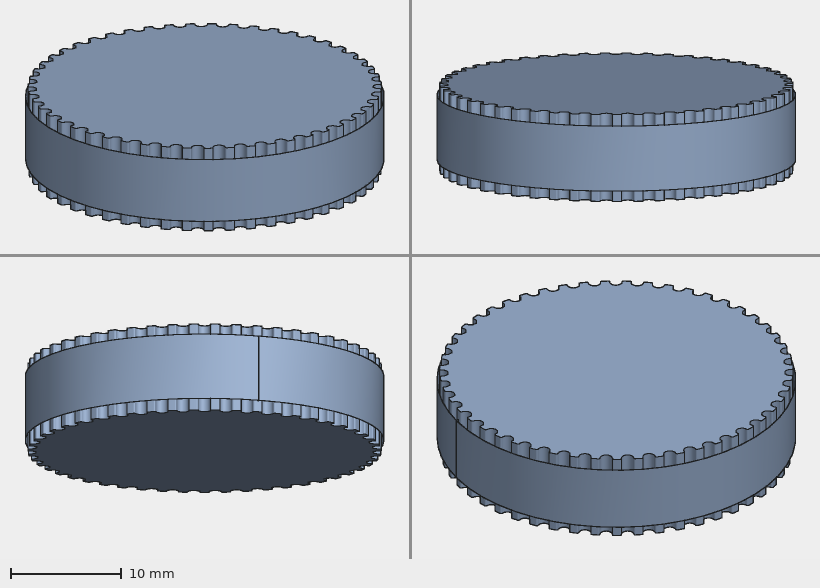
import cadquery as cq
import math

height = 8.0
sleeve_diameter = 32.47
sleeve_thickness = 0.03
rim_height = 1.0
tooth_count = 51
tip_diameter = 31.95
groove_depth = 0.75
groove_radius = 0.55
tip_fillet = 0.145
web_thickness = 0.05

tip_radius = tip_diameter / 2
root_radius = tip_radius - groove_depth
groove_center = root_radius + groove_radius
sleeve_radius = sleeve_diameter / 2
sleeve_inner_radius = sleeve_radius - sleeve_thickness
sleeve_height = height - 2 * rim_height


def groove_cutter():
    """U-shaped groove on the -Y side, open outwards past the tooth tips."""
    return (
        cq.Workplane("XY")
        .moveTo(-groove_radius, -sleeve_radius)
        .lineTo(-groove_radius, -groove_center)
        .threePointArc((0, -root_radius), (groove_radius, -groove_center))
        .lineTo(groove_radius, -sleeve_radius)
        .close()
        .extrude(height)
        .val()
    )


def is_tip_edge(edge):
    """True for the vertical edges where a groove wall meets the tip cylinder."""
    middle = edge.Center()
    return math.hypot(middle.x, middle.y) > (tip_radius + groove_center) / 2


def toothed_core():
    """Full-height solid gear with rounded tooth tips and one groove facing -Y."""
    cutter = groove_cutter()
    pitch_angle = 360 / tooth_count
    cutters = [
        cutter.rotate(cq.Vector(0, 0, 0), cq.Vector(0, 0, 1), index * pitch_angle)
        for index in range(tooth_count)
    ]
    blank = cq.Workplane("XY").circle(tip_radius).extrude(height)
    core = blank.cut(cq.Workplane(cq.Compound.makeCompound(cutters)))
    tip_edges = [edge for edge in core.edges("|Z").vals() if is_tip_edge(edge)]
    return core.newObject(tip_edges).fillet(tip_fillet)


def sleeve():
    """Thin ring around the middle of the teeth, clear of the tooth tips."""
    return (
        cq.Workplane("XY", origin=(0, 0, rim_height))
        .circle(sleeve_radius)
        .circle(sleeve_inner_radius)
        .extrude(sleeve_height)
    )


def sleeve_web():
    """Radial web on the +Y tooth, from inside the tooth to inside the sleeve wall."""
    inner_end = groove_center
    outer_end = (sleeve_inner_radius + sleeve_radius) / 2
    return (
        cq.Workplane("XY", origin=(0, (inner_end + outer_end) / 2, rim_height))
        .rect(web_thickness, outer_end - inner_end)
        .extrude(sleeve_height)
    )


result = toothed_core().union(sleeve_web()).union(sleeve())